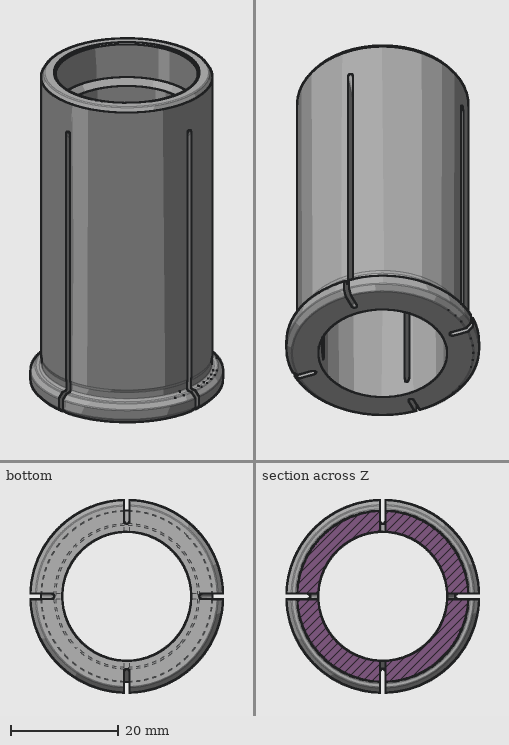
import cadquery as cq
import math

HEIGHT = 64.0
SLEEVE_RADIUS = 16.0
FLANGE_RADIUS = 18.0

EDGE_ROUNDING = 0.3

FLANGE_HEIGHT = 4.0
FLANGE_LOWER_CHAMFER = 1.0
FLANGE_UPPER_CHAMFER = 0.95

NECK_RADIUS = 15.9
NECK_FILLET = 0.45
NECK_TOP = 5.6
NECK_TAPER_HEIGHT = 0.6

RIM_CHAMFER_WIDTH = 0.6
RIM_CHAMFER_HEIGHT = 0.9

BORE_RADIUS = 24.0 / 2
MOUTH_RADIUS = 26.5 / 2
MOUTH_DEPTH = 7.05
MOUTH_CHAMFER = 0.3

SLOT_COUNT = 4
SLOT_WIDTH = 1.0
CUTTER_RADIUS = 16.65
CUTTER_DEPTH = 1.0
SLOT_BOTTOM = 3.1
SLOT_TOP = 51.1


def revolve_about_z(profile):
    return profile.close().revolve(360, (0, 0), (0, 1))


def make_flange():
    profile = (
        cq.Workplane("XZ")
        .lineTo(FLANGE_RADIUS - FLANGE_LOWER_CHAMFER, 0)
        .lineTo(FLANGE_RADIUS, FLANGE_LOWER_CHAMFER)
        .lineTo(FLANGE_RADIUS, FLANGE_HEIGHT - FLANGE_UPPER_CHAMFER)
        .lineTo(FLANGE_RADIUS - FLANGE_UPPER_CHAMFER, FLANGE_HEIGHT)
        .lineTo(0, FLANGE_HEIGHT)
    )
    return revolve_about_z(profile).edges("%CIRCLE").fillet(EDGE_ROUNDING)


def make_sleeve():
    profile = (
        cq.Workplane("XZ")
        .moveTo(0, FLANGE_HEIGHT)
        .lineTo(NECK_RADIUS + NECK_FILLET, FLANGE_HEIGHT)
        .radiusArc((NECK_RADIUS, FLANGE_HEIGHT + NECK_FILLET), NECK_FILLET)
        .lineTo(NECK_RADIUS, NECK_TOP)
        .lineTo(SLEEVE_RADIUS, NECK_TOP + NECK_TAPER_HEIGHT)
        .lineTo(SLEEVE_RADIUS, HEIGHT - RIM_CHAMFER_HEIGHT)
        .lineTo(SLEEVE_RADIUS - RIM_CHAMFER_WIDTH, HEIGHT)
        .lineTo(0, HEIGHT)
    )
    return revolve_about_z(profile).faces(">Z").edges().fillet(EDGE_ROUNDING)


def make_bore():
    mouth_floor = HEIGHT - MOUTH_DEPTH
    profile = (
        cq.Workplane("XZ")
        .lineTo(BORE_RADIUS, 0)
        .lineTo(BORE_RADIUS, mouth_floor - (MOUTH_RADIUS - BORE_RADIUS))
        .lineTo(MOUTH_RADIUS, mouth_floor)
        .lineTo(MOUTH_RADIUS, HEIGHT - MOUTH_CHAMFER)
        .lineTo(MOUTH_RADIUS + MOUTH_CHAMFER, HEIGHT)
        .lineTo(0, HEIGHT)
    )
    return revolve_about_z(profile)


def make_slot_cutter():
    """Sweep of the cutter disc along Z, on the +X side of the part."""
    half_width = SLOT_WIDTH / 2
    flank_radius = CUTTER_RADIUS - half_width
    center_x = BORE_RADIUS - CUTTER_DEPTH + CUTTER_RADIUS
    reach = math.sqrt(CUTTER_RADIUS**2 - (CUTTER_RADIUS - CUTTER_DEPTH) ** 2)
    low_z = SLOT_BOTTOM + reach
    high_z = SLOT_TOP - reach

    def half_section(center_z):
        return (
            cq.Workplane("XY", origin=(center_x, 0, center_z))
            .moveTo(0, -half_width)
            .lineTo(-flank_radius, -half_width)
            .threePointArc((-CUTTER_RADIUS, 0), (-flank_radius, half_width))
            .lineTo(0, half_width)
            .close()
        )

    cutter = half_section(low_z).extrude(high_z - low_z)
    for center_z in (low_z, high_z):
        cutter = cutter.union(half_section(center_z).revolve(360, (0, -0.65), (0, 0.65)))
    return cutter


result = make_flange().union(make_sleeve()).cut(make_bore())

slot_cutter = make_slot_cutter()
for index in range(SLOT_COUNT):
    angle = index * 360 / SLOT_COUNT
    result = result.cut(slot_cutter.rotate((0, 0, 0), (0, 0, 1), angle))